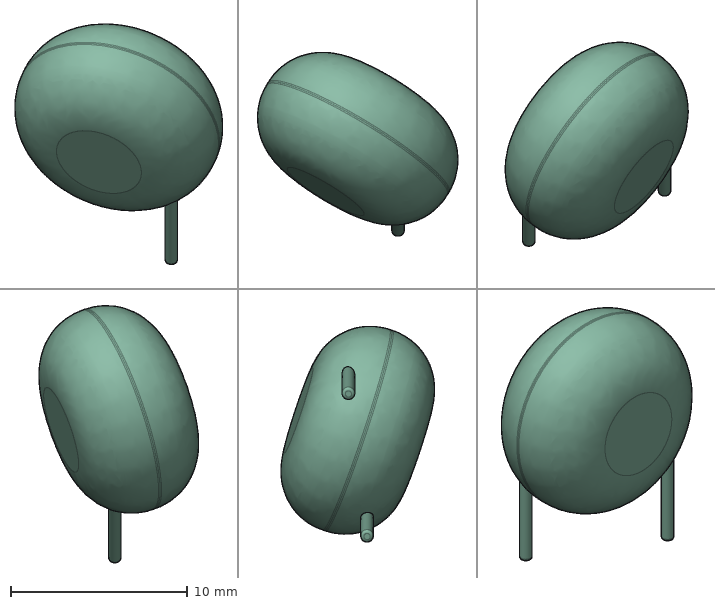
import cadquery as cq

body_diameter = 12.0
body_thickness = 7.1
edge_radius = 3.45

lead_diameter = 0.72
lead_pitch_x = 7.5
lead_pitch_y = 3.67
lead_tip_rounding = 0.18

total_height = 15.03
body_radius = body_diameter / 2
lead_bottom = body_radius - total_height
lead_top = -body_radius / 2


def make_body():
    disc = cq.Workplane("XZ").circle(body_radius).extrude(body_thickness / 2, both=True)
    return disc.edges("%CIRCLE").fillet(edge_radius)


def make_lead(x, y):
    lead = (
        cq.Workplane("XY", origin=(x, y, lead_bottom))
        .circle(lead_diameter / 2)
        .extrude(lead_top - lead_bottom)
    )
    return lead.faces("<Z").edges().fillet(lead_tip_rounding)


result = make_body()
for side in (-1, 1):
    result = result.union(make_lead(side * lead_pitch_x / 2, -side * lead_pitch_y / 2))